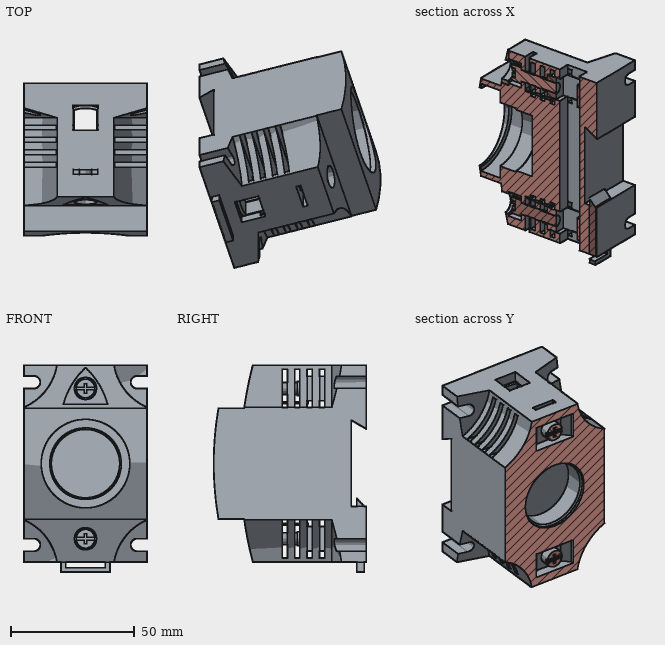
import cadquery as cq


WIDTH = 50.0
HALF_HEIGHT = 40.0
HEIGHT_WITH_CLIP = 84.0
DEPTH = 62.0
HEAD_HALF_HEIGHT = 22.5
HEAD_EDGE_DEPTH = 60.1
SHOULDER_CROWN_DEPTH = 51.2
SHOULDER_END_DEPTH = 46.1

RAIL_RECESS_DEPTH = 6.1
RAIL_BOTTOM_Z = -17.3
RAIL_TOP_Z = 17.55
RAIL_LIP_Z = 14.0

MOUTH_RADIUS = 18.0
CAVITY_RADIUS = 20.0
SOCKET_RADIUS = 14.5
CAVITY_FRONT_DEPTH = 59.7
CAVITY_FLOOR_DEPTH = 50.0
SOCKET_END_DEPTH = 41.5
SOCKET_END_TAPER = 0.7
WELL_FLOOR_DEPTH = 33.6

SCOOP_RADIUS = 22.7
SCOOP_AXIS_X = 33.9
SCOOP_AXIS_Z = 43.7
SCOOP_FLOOR_DEPTH = 14.0
SCOOP_FLOOR_SLOPE = 0.3

MOUNT_SLOT_WIDTH = 5.0
MOUNT_SLOT_Z = 33.0
MOUNT_SLOT_END_X = 18.4

SLIT_COUNT = 4
SLIT_PITCH = 5.0
SLIT_WIDTH = 2.0
SLIT_FIRST_DEPTH = 17.0
SLIT_INNER_Z = 22.85
SLIT_OUTER_Z = 38.2

OPENING_WIDTH = 10.0
WIRE_REAR_DEPTH = 9.1
WIRE_FRONT_DEPTH = WIRE_REAR_DEPTH + OPENING_WIDTH
BAR_SLOT_DEPTH = 35.0
BAR_SLOT_WIDTH = 1.9

TERMINAL_Z = 30.5
SHANK_DIAMETER = 5.0
SCREW_TIP_DEPTH = 21.0
HEAD_DIAMETER = 7.65
HEAD_SEAT_DEPTH = 39.15
HEAD_FRONT_DEPTH = 44.0
DRIVE_SLOT_WIDTH = 1.2
DRIVE_CROSS_WIDTH = 1.0
DRIVE_CROSS_LENGTH = 4.0
DRIVE_DEPTH = 1.7
SCREW_HOLE_DIAMETER = 9.0

CHAMBER_WIDTH = 18.15
CHAMBER_FRONT_DEPTH = 45.8
CHAMBER_CORNER_CHAMFER = 3.0
CHAMBER_OUTER_Z = 35.95

CLAMP_HEIGHT = 10.0
CLAMP_WIDTH = 11.9
CLAMP_OPENING_WIDTH = 9.2
CLAMP_REAR_DEPTH = 8.9
CLAMP_CORNER_DEPTH = 9.6
CLAMP_WALL = 1.35
CLAMP_FRONT_DEPTH = 25.5
CLAMP_BOSS_DIAMETER = 5.8
CLAMP_BOSS_DEPTH = 28.05

CLAMP_Z_SPAN = (TERMINAL_Z - CLAMP_HEIGHT / 2, TERMINAL_Z + CLAMP_HEIGHT / 2)

PLATE_INNER_Z = 24.3
PLATE_OUTER_Z = 25.0
PLATE_REAR_DEPTH = 23.6
PLATE_FRONT_DEPTH = BAR_SLOT_DEPTH + BAR_SLOT_WIDTH

CLIP_WIDTH = 20.0
CLIP_REAR_DEPTH = 0.8
CLIP_FRONT_DEPTH = 3.95
CLIP_TIP_Z = -14.0
CLIP_BOTTOM_Z = HALF_HEIGHT - HEIGHT_WITH_CLIP
CLIP_WINDOW_WIDTH = 16.0
CLIP_BAR_HEIGHT = 1.85

LABEL_TIP_Z = 39.0
LABEL_BASE_Z = 24.1
LABEL_HALF_WIDTH = 9.0
LABEL_BULGE_X = 5.9
LABEL_BULGE_Z = 31.6


def block(x_span, depth_span, z_span):
    """A box between the given X limits, depths and Z limits."""
    (x0, x1), (d0, d1), (z0, z1) = x_span, depth_span, z_span
    return cq.Workplane("XY").box(x1 - x0, d1 - d0, z1 - z0, centered=False).translate((x0, -d1, z0))


def centred_block(width, depth_span, z_span):
    return block((-width / 2, width / 2), depth_span, z_span)


def rod(diameter, depth_span, x=0.0, z=0.0):
    """A cylinder along Y between two depths."""
    start, end = depth_span
    plane = cq.Workplane("XZ", origin=(x, -start, z))
    return plane.circle(diameter / 2).extrude(end - start)


def side_extrusion(profile, width):
    """Extrude a closed profile drawn in the YZ plane across X, centred on X = 0."""
    return profile.extrude(width / 2, both=True)


def mirrored_in_z(body):
    return body.mirror("XY")


def shoulder():
    """The convex terminal block behind the head."""
    return side_extrusion(
        cq.Workplane("YZ")
        .moveTo(0, -HALF_HEIGHT)
        .lineTo(-SHOULDER_END_DEPTH, -HALF_HEIGHT)
        .threePointArc((-SHOULDER_CROWN_DEPTH, 0), (-SHOULDER_END_DEPTH, HALF_HEIGHT))
        .lineTo(0, HALF_HEIGHT)
        .close(),
        WIDTH,
    )


def head():
    return side_extrusion(
        cq.Workplane("YZ")
        .moveTo(0, -HEAD_HALF_HEIGHT)
        .lineTo(-HEAD_EDGE_DEPTH, -HEAD_HALF_HEIGHT)
        .threePointArc((-DEPTH, 0), (-HEAD_EDGE_DEPTH, HEAD_HALF_HEIGHT))
        .lineTo(0, HEAD_HALF_HEIGHT)
        .close(),
        WIDTH,
    )


def rail_recess():
    return side_extrusion(
        cq.Workplane("YZ").polyline(
            [
                (0, RAIL_BOTTOM_Z),
                (-RAIL_RECESS_DEPTH, RAIL_BOTTOM_Z),
                (-RAIL_RECESS_DEPTH, RAIL_TOP_Z),
                (0, RAIL_LIP_Z),
            ]
        ).close(),
        WIDTH,
    )


def corner_scoop():
    """The round scoop at the +X +Z corner, with its floor falling towards the scoop axis."""
    floor_drop = SCOOP_FLOOR_SLOPE * SCOOP_RADIUS
    return (
        cq.Workplane("XY")
        .polyline(
            [
                (0, floor_drop - SCOOP_FLOOR_DEPTH),
                (SCOOP_RADIUS, -SCOOP_FLOOR_DEPTH),
                (SCOOP_RADIUS, -DEPTH),
                (0, -DEPTH),
            ]
        )
        .close()
        .revolve(360, (0, 0), (0, 1))
        .translate((SCOOP_AXIS_X, 0, SCOOP_AXIS_Z))
    )


def mount_slot():
    """The +X +Z mounting slot, open to the side and rounded at its inner end."""
    depth_span = (0, SCOOP_FLOOR_DEPTH)
    centre_x = MOUNT_SLOT_END_X + MOUNT_SLOT_WIDTH / 2
    z_span = (MOUNT_SLOT_Z - MOUNT_SLOT_WIDTH / 2, MOUNT_SLOT_Z + MOUNT_SLOT_WIDTH / 2)
    channel = block((centre_x, WIDTH / 2), depth_span, z_span)
    return channel.union(rod(MOUNT_SLOT_WIDTH, depth_span, centre_x, MOUNT_SLOT_Z))


def lamp_opening():
    mouth = rod(2 * MOUTH_RADIUS, (CAVITY_FLOOR_DEPTH, DEPTH))
    cavity = rod(2 * CAVITY_RADIUS, (CAVITY_FLOOR_DEPTH, CAVITY_FRONT_DEPTH))
    socket = rod(2 * SOCKET_RADIUS, (SOCKET_END_DEPTH, CAVITY_FLOOR_DEPTH))
    socket = socket.faces(">Y").chamfer(SOCKET_END_TAPER)
    well = rod(2 * (SOCKET_RADIUS - SOCKET_END_TAPER), (WELL_FLOOR_DEPTH, SOCKET_END_DEPTH))
    return mouth.union(cavity).union(socket).union(well)


def slits():
    cuts = cq.Workplane("XY")
    for index in range(SLIT_COUNT):
        start = SLIT_FIRST_DEPTH + index * SLIT_PITCH
        cuts = cuts.union(centred_block(WIDTH, (start, start + SLIT_WIDTH), (SLIT_INNER_Z, SLIT_OUTER_Z)))
    return cuts


def contact_plate():
    depth_span = (PLATE_REAR_DEPTH, PLATE_FRONT_DEPTH)
    return centred_block(OPENING_WIDTH, depth_span, (PLATE_INNER_Z, PLATE_OUTER_Z))


def head_chamber():
    """The room around the upper screw head, with its two rear corners cut off."""
    depth_span = (HEAD_SEAT_DEPTH, CHAMBER_FRONT_DEPTH)
    room = centred_block(CHAMBER_WIDTH, depth_span, (PLATE_OUTER_Z, CHAMBER_OUTER_Z))
    return room.edges("|Z and >Y").chamfer(CHAMBER_CORNER_CHAMFER)


def screw_hole():
    """The screwdriver hole from the head chamber out through the upper shoulder."""
    return rod(SCREW_HOLE_DIAMETER, (CHAMBER_FRONT_DEPTH, SHOULDER_CROWN_DEPTH), z=TERMINAL_Z)


def terminal_cavity():
    """Space in the upper shoulder for a clamp, a screw, a contact plate and the bus bar."""
    clamp_space = centred_block(CLAMP_WIDTH, (CLAMP_REAR_DEPTH, CLAMP_FRONT_DEPTH), CLAMP_Z_SPAN)
    boss_space = rod(CLAMP_BOSS_DIAMETER, (CLAMP_FRONT_DEPTH, CLAMP_BOSS_DEPTH), z=TERMINAL_Z)
    shank_space = rod(SHANK_DIAMETER, (CLAMP_FRONT_DEPTH, HEAD_SEAT_DEPTH), z=TERMINAL_Z)
    bar_span = (BAR_SLOT_DEPTH, BAR_SLOT_DEPTH + BAR_SLOT_WIDTH)
    bar_slot = centred_block(OPENING_WIDTH, bar_span, (PLATE_OUTER_Z, HALF_HEIGHT))
    return (
        clamp_space.union(boss_space)
        .union(shank_space)
        .union(head_chamber())
        .union(screw_hole())
        .union(bar_slot)
        .union(contact_plate())
    )


def clamp():
    """A frame open along Z with a bowed rear wall and a threaded boss at the front."""
    half_width = CLAMP_WIDTH / 2
    half_opening = CLAMP_OPENING_WIDTH / 2
    bottom, top = CLAMP_Z_SPAN
    outline = (
        cq.Workplane("XY", origin=(0, 0, bottom))
        .moveTo(-half_width, -CLAMP_FRONT_DEPTH)
        .lineTo(half_width, -CLAMP_FRONT_DEPTH)
        .lineTo(half_width, -CLAMP_CORNER_DEPTH - CLAMP_WALL)
        .lineTo(half_opening, -CLAMP_CORNER_DEPTH)
        .threePointArc((0, -CLAMP_REAR_DEPTH), (-half_opening, -CLAMP_CORNER_DEPTH))
        .lineTo(-half_width, -CLAMP_CORNER_DEPTH - CLAMP_WALL)
        .close()
        .extrude(top - bottom)
    )
    opening = (
        cq.Workplane("XY", origin=(0, 0, bottom))
        .moveTo(-half_opening, -SCREW_TIP_DEPTH)
        .lineTo(half_opening, -SCREW_TIP_DEPTH)
        .lineTo(half_opening, -CLAMP_CORNER_DEPTH - CLAMP_WALL)
        .threePointArc((0, -CLAMP_REAR_DEPTH - CLAMP_WALL), (-half_opening, -CLAMP_CORNER_DEPTH - CLAMP_WALL))
        .close()
        .extrude(top - bottom)
    )
    boss = rod(CLAMP_BOSS_DIAMETER, (CLAMP_FRONT_DEPTH, CLAMP_BOSS_DEPTH), z=TERMINAL_Z)
    thread = rod(SHANK_DIAMETER, (SCREW_TIP_DEPTH, CLAMP_BOSS_DEPTH), z=TERMINAL_Z)
    return outline.cut(opening).union(boss).cut(thread)


def screw():
    shank = rod(SHANK_DIAMETER, (SCREW_TIP_DEPTH, HEAD_SEAT_DEPTH), z=TERMINAL_Z)
    cap = rod(HEAD_DIAMETER, (HEAD_SEAT_DEPTH, HEAD_FRONT_DEPTH), z=TERMINAL_Z)
    drive_span = (HEAD_FRONT_DEPTH - DRIVE_DEPTH, HEAD_FRONT_DEPTH)
    slot_half, cross_half = DRIVE_SLOT_WIDTH / 2, DRIVE_CROSS_LENGTH / 2
    slot = centred_block(HEAD_DIAMETER, drive_span, (TERMINAL_Z - slot_half, TERMINAL_Z + slot_half))
    cross = centred_block(DRIVE_CROSS_WIDTH, drive_span, (TERMINAL_Z - cross_half, TERMINAL_Z + cross_half))
    return shank.union(cap).cut(slot).cut(cross)


def label():
    """The curved-sided triangle, flush with the shoulder face and backed by the head chamber plane."""
    prism = (
        cq.Workplane("XZ", origin=(0, -CHAMBER_FRONT_DEPTH, 0))
        .moveTo(-LABEL_HALF_WIDTH, LABEL_BASE_Z)
        .lineTo(LABEL_HALF_WIDTH, LABEL_BASE_Z)
        .threePointArc((LABEL_BULGE_X, LABEL_BULGE_Z), (0, LABEL_TIP_Z))
        .threePointArc((-LABEL_BULGE_X, LABEL_BULGE_Z), (-LABEL_HALF_WIDTH, LABEL_BASE_Z))
        .close()
        .extrude(SHOULDER_CROWN_DEPTH - CHAMBER_FRONT_DEPTH)
    )
    return prism.intersect(shoulder()).cut(screw_hole())


def clip():
    """A flat slider with a bevelled catch on top and a finger window below the housing."""
    body = side_extrusion(
        cq.Workplane("YZ").polyline(
            [
                (-CLIP_REAR_DEPTH, CLIP_BOTTOM_Z),
                (-CLIP_FRONT_DEPTH, CLIP_BOTTOM_Z),
                (-CLIP_FRONT_DEPTH, CLIP_TIP_Z),
                (-CLIP_REAR_DEPTH, RAIL_BOTTOM_Z),
            ]
        ).close(),
        CLIP_WIDTH,
    )
    window_z = (CLIP_BOTTOM_Z + CLIP_BAR_HEIGHT, -HALF_HEIGHT)
    return body.cut(centred_block(CLIP_WINDOW_WIDTH, (CLIP_REAR_DEPTH, CLIP_FRONT_DEPTH), window_z))


def housing():
    body = shoulder().union(head()).cut(rail_recess()).cut(lamp_opening())
    corner_cut = corner_scoop().union(mount_slot())
    for upper_corner in (corner_cut, corner_cut.mirror("YZ")):
        body = body.cut(upper_corner).cut(mirrored_in_z(upper_corner))
    for upper_cut in (slits(), terminal_cavity()):
        body = body.cut(upper_cut).cut(mirrored_in_z(upper_cut))
    wire_passage = centred_block(
        OPENING_WIDTH, (WIRE_REAR_DEPTH, WIRE_FRONT_DEPTH), (-HALF_HEIGHT, HALF_HEIGHT)
    )
    clip_guide = centred_block(CLIP_WIDTH, (CLIP_REAR_DEPTH, CLIP_FRONT_DEPTH), (-HALF_HEIGHT, RAIL_BOTTOM_Z))
    return body.cut(wire_passage).cut(clip_guide).cut(label())


bodies = []
for single_body in (housing(), label(), clip()):
    bodies.append(single_body.solids().val())
for upper_body in (screw(), clamp(), contact_plate()):
    for terminal_body in (upper_body, mirrored_in_z(upper_body)):
        bodies.append(terminal_body.solids().val())

result = cq.Compound.makeCompound(bodies)